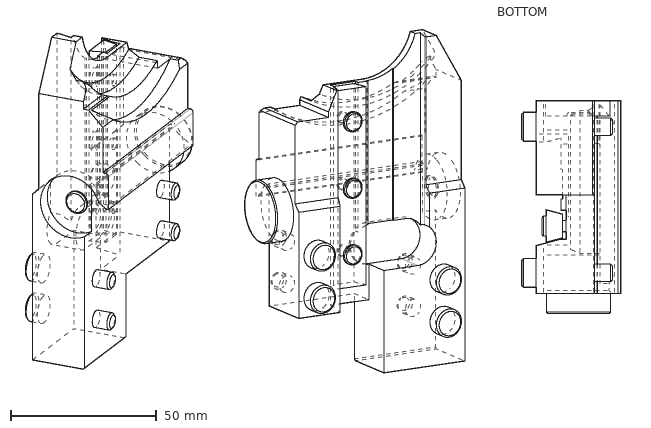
import cadquery as cq
import math

HEIGHT = 116.0
LENGTH_Y = 66.1
THICKNESS = 20.0
LOWER_WIDTH_Y = 32.2
FOOT_HEIGHT = 23.7
FOOT_CHAMFER = 0.6

UPPER_FACE_X = 2.4
RELIEF_Z = 61.2

NECK_X = 19.5
LEDGE_X = 21.5
LEDGE_Z = 96.0
FLANGE_X = 26.9
HOOK_X = 29.0
HOOK_TOP_Z = 73.9
HOOK_BOTTOM_Z = 60.7
HOOK_CORNER = 1.2
HOOK_LIP = 0.9
HOOK_ROOT_Z = 66.5
ROOT_RELIEF_RADIUS = 0.7
ROOT_RELIEF_OFFSET = 0.3
SEAT_CORNER_RADIUS = 3.2
SEAT_CORNER_Z = 101.6

FRONT_SLOPE_Z = 98.8
PEAK_FRONT_Y = 10.0
SADDLE_Y = 34.0
SADDLE_RADIUS = 20.0
SADDLE_Z = 101.6
SHOULDER_Y = 52.9
SHOULDER_SLOPE_RUN = 3.4
SHOULDER_SLOPE_Z = 94.5
SHOULDER_Z = 92.6
SHOULDER_CHAMFER = 1.0

SEAT_AXIS_Z = 132.9
SEAT_RADIUS = 41.6
SEAT_FLANGE_RADIUS = 49.5
SEAT_START_X = 11.8
SEAT_CHAMFER = 3.2
SEAT_STEP_X = 21.9

DOVETAIL_ANGLE = 15.0
CHANNEL_FRONT_Y = 14.2
CHANNEL_FRONT_STRAIGHT = 3.5
CHANNEL_BACK_Y = 49.6
CHANNEL_BACK_SLOPE_DEPTH = 8.1
CHANNEL_DEPTH = 8.5
GROOVE_DEPTH = 9.0
GROOVE_FRONT_Y = 23.5
GROOVE_BACK_Y = 33.6
GIB_BED_DEPTH = 10.2
GIB_BED_FRONT_Y = 37.6

SLOT_Z = 43.6
SLOT_HEIGHT = 14.7
SLOT_FRONT_CENTRE_Y = 18.8
SLOT_DEPTH = 11.0

GIB_OUTER_X = 3.4
GIB_INNER_X = 9.0
GIB_BACK_Y = 48.6
GIB_WIDTH = 11.3
GIB_BOTTOM_Z = 31.1
GIB_TOP_Z = 101.3
GIB_SCREW_Z = 66.1
GIB_SCREW_PITCH = 23.5
GIB_SCREW_HEAD = 7.0
GIB_SCREW_SHANK = 4.0
GIB_SCREW_TIP_X = 2.0
GIB_SCREW_CHAMFER = 0.5

BOLT_HEAD = 10.0
BOLT_SHANK = 6.0
BOLT_HEAD_HEIGHT = 5.0
BOLT_END_X = 26.2
BOLT_CHAMFER = 0.7
BOLT_PITCH_Z = 15.0
BOLT_MIDDLE_Z = 30.5
FRONT_BOLT_Y = 8.9
BACK_BOLT_Y = 59.0

PIVOT_X = 14.5
PIVOT_Z = 59.0
PIVOT_POCKET = 22.7
PIVOT_POCKET_DEPTH = 5.2
PIVOT_PIN = 8.0
PIVOT_PIN_HEIGHT = 1.2
PIVOT_HEAD = 22.0
PIVOT_HEAD_HEIGHT = 6.8
PIVOT_PIN_CHAMFER = 0.6
PIVOT_HEAD_CHAMFER = 0.5

OVERLAP = 1.2
TAPER = math.tan(math.radians(DOVETAIL_ANGLE))


def pin(start, direction, diameter, length, chamfer=0.0):
    """Round pin from start along direction, with an optional chamfer at its far end."""
    plane = cq.Plane(origin=start, normal=direction)
    body = cq.Workplane(plane).circle(diameter / 2).extrude(length)
    if chamfer:
        far_end = cq.selectors.DirectionMinMaxSelector(cq.Vector(*direction))
        body = body.faces(far_end).edges().chamfer(chamfer)
    return body


def make_body():
    """Block common to its outline along Y and its outline along X."""
    side_profile = (
        cq.Workplane("XZ")
        .moveTo(0, 0)
        .lineTo(0, RELIEF_Z)
        .lineTo(UPPER_FACE_X, RELIEF_Z + UPPER_FACE_X)
        .lineTo(UPPER_FACE_X, HEIGHT)
        .lineTo(NECK_X - SEAT_CORNER_RADIUS, HEIGHT)
        .lineTo(NECK_X - SEAT_CORNER_RADIUS, SEAT_CORNER_Z + SEAT_CORNER_RADIUS)
        .radiusArc((NECK_X, SEAT_CORNER_Z), SEAT_CORNER_RADIUS)
        .lineTo(NECK_X, LEDGE_Z)
        .lineTo(LEDGE_X, LEDGE_Z)
        .lineTo(FLANGE_X, LEDGE_Z - (FLANGE_X - LEDGE_X))
        .lineTo(FLANGE_X, HOOK_TOP_Z)
        .lineTo(HOOK_X - HOOK_CORNER, HOOK_TOP_Z)
        .radiusArc((HOOK_X, HOOK_TOP_Z - HOOK_CORNER), HOOK_CORNER)
        .lineTo(HOOK_X, HOOK_BOTTOM_Z)
        .lineTo(HOOK_X - HOOK_LIP, HOOK_BOTTOM_Z)
        .lineTo(THICKNESS, HOOK_ROOT_Z)
        .lineTo(THICKNESS, FOOT_CHAMFER)
        .lineTo(THICKNESS - FOOT_CHAMFER, 0)
        .close()
        .extrude(-LENGTH_Y)
    )
    saddle_rise = HEIGHT - SADDLE_Z
    saddle_run = math.sqrt(SADDLE_RADIUS**2 - (SADDLE_RADIUS - saddle_rise)**2)
    face_profile = (
        cq.Workplane("YZ")
        .moveTo(0, 0)
        .lineTo(0, FRONT_SLOPE_Z)
        .lineTo(PEAK_FRONT_Y, HEIGHT)
        .lineTo(SADDLE_Y - saddle_run, HEIGHT)
        .radiusArc((SADDLE_Y, SADDLE_Z), -SADDLE_RADIUS)
        .lineTo(SHOULDER_Y - SHOULDER_SLOPE_RUN, SADDLE_Z)
        .lineTo(SHOULDER_Y, SHOULDER_SLOPE_Z)
        .lineTo(SHOULDER_Y, SHOULDER_Z)
        .lineTo(LENGTH_Y - SHOULDER_CHAMFER, SHOULDER_Z)
        .lineTo(LENGTH_Y, SHOULDER_Z - SHOULDER_CHAMFER)
        .lineTo(LENGTH_Y, FOOT_HEIGHT)
        .lineTo(LOWER_WIDTH_Y, FOOT_HEIGHT)
        .lineTo(LOWER_WIDTH_Y, 0)
        .close()
        .extrude(HOOK_X)
    )
    return side_profile.intersect(face_profile)


def make_root_relief():
    """Small round relief along Y in the sharp root of the hook."""
    centre = (THICKNESS + ROOT_RELIEF_OFFSET, 0, HOOK_ROOT_Z - ROOT_RELIEF_OFFSET)
    return pin(centre, (0, 1, 0), 2 * ROOT_RELIEF_RADIUS, LENGTH_Y)


def make_round_seat():
    """Stepped round seat, turned about an axis parallel to X above the block."""
    floor_z = SEAT_AXIS_Z - SEAT_RADIUS
    flange_floor_z = SEAT_AXIS_Z - SEAT_FLANGE_RADIUS
    return (
        cq.Workplane("XZ", origin=(0, SADDLE_Y, 0))
        .polyline([
            (SEAT_START_X, SEAT_AXIS_Z),
            (SEAT_START_X, floor_z + SEAT_CHAMFER),
            (SEAT_START_X + SEAT_CHAMFER, floor_z),
            (SEAT_STEP_X, floor_z),
            (SEAT_STEP_X, flange_floor_z),
            (HOOK_X, flange_floor_z),
            (HOOK_X, SEAT_AXIS_Z),
        ])
        .close()
        .revolve(360, (0, SEAT_AXIS_Z), (1, SEAT_AXIS_Z))
    )


def make_channel():
    """Dovetail channel above the slot, and the open gib bed below it."""
    back_floor_y = CHANNEL_BACK_Y - CHANNEL_BACK_SLOPE_DEPTH * TAPER
    front_floor_y = CHANNEL_FRONT_Y - (CHANNEL_DEPTH - CHANNEL_FRONT_STRAIGHT) * TAPER
    back_wall = [
        (GIB_BED_DEPTH, back_floor_y),
        (CHANNEL_BACK_SLOPE_DEPTH, back_floor_y),
        (0, CHANNEL_BACK_Y),
    ]
    channel = (
        cq.Workplane("XY", origin=(0, 0, SLOT_Z))
        .polyline(back_wall + [
            (0, CHANNEL_FRONT_Y),
            (CHANNEL_FRONT_STRAIGHT, CHANNEL_FRONT_Y),
            (CHANNEL_DEPTH, front_floor_y),
            (CHANNEL_DEPTH, GROOVE_FRONT_Y),
            (GROOVE_DEPTH, GROOVE_FRONT_Y),
            (GROOVE_DEPTH, GROOVE_BACK_Y),
            (CHANNEL_DEPTH, GROOVE_BACK_Y),
            (CHANNEL_DEPTH, GIB_BED_FRONT_Y),
            (GIB_BED_DEPTH, GIB_BED_FRONT_Y),
        ])
        .close()
        .extrude(HEIGHT - SLOT_Z)
    )
    lower_bed = (
        cq.Workplane("XY")
        .polyline(back_wall + [(0, LOWER_WIDTH_Y), (GIB_BED_DEPTH, LOWER_WIDTH_Y)])
        .close()
        .extrude(SLOT_Z)
    )
    return channel.union(lower_bed)


def make_slot():
    """Round-ended clearance slot; its back end is centred on the side of the foot."""
    centre_distance = LOWER_WIDTH_Y - SLOT_FRONT_CENTRE_Y
    return (
        cq.Workplane("YZ")
        .center(SLOT_FRONT_CENTRE_Y + centre_distance / 2, SLOT_Z)
        .slot2D(centre_distance + SLOT_HEIGHT, SLOT_HEIGHT)
        .extrude(SLOT_DEPTH)
    )


def make_gib():
    """Tapered gib strip with three screws that hold it off the bed."""
    taper_run = (GIB_INNER_X - GIB_OUTER_X) * TAPER
    gib_front_y = GIB_BACK_Y - GIB_WIDTH
    gib = (
        cq.Workplane("XY", origin=(0, 0, GIB_BOTTOM_Z))
        .polyline([
            (GIB_OUTER_X, GIB_BACK_Y),
            (GIB_OUTER_X, gib_front_y),
            (GIB_INNER_X, gib_front_y + taper_run),
            (GIB_INNER_X, GIB_BACK_Y - taper_run),
        ])
        .close()
        .extrude(GIB_TOP_Z - GIB_BOTTOM_Z)
    )
    screw_y = GIB_BACK_Y - GIB_WIDTH / 2
    head_length = GIB_OUTER_X - GIB_SCREW_TIP_X
    shank_length = GIB_BED_DEPTH - GIB_INNER_X
    for step in (-1, 0, 1):
        z = GIB_SCREW_Z + step * GIB_SCREW_PITCH
        head_start = (GIB_OUTER_X + OVERLAP, screw_y, z)
        shank_start = (GIB_INNER_X - OVERLAP, screw_y, z)
        head = pin(head_start, (-1, 0, 0), GIB_SCREW_HEAD, head_length + OVERLAP, GIB_SCREW_CHAMFER)
        shank = pin(shank_start, (1, 0, 0), GIB_SCREW_SHANK, shank_length + 2 * OVERLAP)
        gib = gib.union(head).union(shank)
    return gib


def make_bolt(y, z):
    """Clamping bolt: head outside the -X face, shank end beyond the +X face."""
    head = pin((OVERLAP, y, z), (-1, 0, 0), BOLT_HEAD, BOLT_HEAD_HEIGHT + OVERLAP, BOLT_CHAMFER)
    shank = pin((0, y, z), (1, 0, 0), BOLT_SHANK, BOLT_END_X, BOLT_CHAMFER)
    return head.union(shank)


def add_pivot(body):
    """Round pocket with a pin end in the front face, and a large head on the back."""
    pocket = pin((PIVOT_X, 0, PIVOT_Z), (0, 1, 0), PIVOT_POCKET, PIVOT_POCKET_DEPTH)
    pin_start = (PIVOT_X, PIVOT_POCKET_DEPTH + OVERLAP, PIVOT_Z)
    pin_end = pin(pin_start, (0, -1, 0), PIVOT_PIN, PIVOT_PIN_HEIGHT + OVERLAP, PIVOT_PIN_CHAMFER)
    head = pin((PIVOT_X, LENGTH_Y, PIVOT_Z), (0, 1, 0), PIVOT_HEAD, PIVOT_HEAD_HEIGHT, PIVOT_HEAD_CHAMFER)
    return body.cut(pocket).union(pin_end).union(head)


result = make_body().cut(make_root_relief())
result = result.cut(make_round_seat()).cut(make_channel()).cut(make_slot())
result = add_pivot(result).union(make_gib())

for bolt_y, lower_bolt_z in (
    (FRONT_BOLT_Y, BOLT_MIDDLE_Z - BOLT_PITCH_Z),
    (BACK_BOLT_Y, BOLT_MIDDLE_Z),
):
    for row in range(2):
        result = result.union(make_bolt(bolt_y, lower_bolt_z + row * BOLT_PITCH_Z))